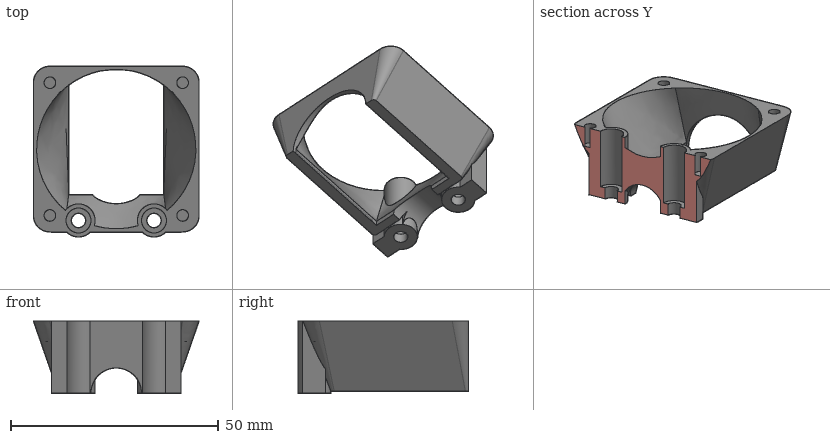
import cadquery as cq
import math

height = 17.5
rim_size = 40.0
rim_corner_radius = 4.0
duct_bottom_z = 0.5
duct_bottom_half_width = 14.1
duct_bottom_front_y = -13.2
duct_bottom_corner_radius = 0.8
rim_half = rim_size / 2
duct_height = height - duct_bottom_z

passage_taper_bottom_z = 2.0
passage_radius = 19.2
passage_seam_x = 12.0
passage_seam_y = math.sqrt(passage_radius**2 - passage_seam_x**2)
passage_bottom_half_width = 11.45
passage_bottom_front_y = -10.95
passage_bottom_back_y = 19.0

back_opening_radius = 11.5
back_opening_front_y = -9.3
front_arch_radius = 6.1

block_half_width = 15.65
block_back_y = -14.5
block_front_y = -20.05

boss_x = 9.1
boss_y = -17.22
boss_radius = 4.0
screw_hole_radius = 1.7
screw_head_radius = 3.0
screw_floor_thickness = 3.0

rim_hole_spacing = 32.0
rim_hole_radius = 1.4
rim_hole_depth = 5.0


def rounded_rectangle(x_half, front_y, back_y, radius):
    """Sketch of a rectangle, symmetric about X = 0, with rounded corners."""
    depth = back_y - front_y
    middle_y = (front_y + back_y) / 2
    return (
        cq.Sketch()
        .push([(0, middle_y)])
        .rect(2 * x_half, depth)
        .reset()
        .vertices()
        .fillet(radius)
    )


def make_duct_body():
    bottom = rounded_rectangle(
        duct_bottom_half_width, duct_bottom_front_y, rim_half, duct_bottom_corner_radius
    )
    rim = rounded_rectangle(rim_half, -rim_half, rim_half, rim_corner_radius)
    return (
        cq.Workplane("XY")
        .workplane(offset=duct_bottom_z)
        .placeSketch(bottom, rim.moved(cq.Location(cq.Vector(0, 0, duct_height))))
        .loft(ruled=True)
    )


def make_block():
    depth = block_back_y - block_front_y
    return (
        cq.Workplane("XY", origin=(0, block_front_y, 0))
        .box(2 * block_half_width, depth, height, centered=(True, False, False))
    )


def make_passage_taper():
    """Loft whose four corner seams run from the rectangle up to the circle."""
    return (
        cq.Workplane("XY", origin=(0, 0, passage_taper_bottom_z))
        .moveTo(-passage_bottom_half_width, passage_bottom_front_y)
        .lineTo(passage_bottom_half_width, passage_bottom_front_y)
        .lineTo(passage_bottom_half_width, passage_bottom_back_y)
        .lineTo(-passage_bottom_half_width, passage_bottom_back_y)
        .close()
        .workplane(offset=height - passage_taper_bottom_z)
        .moveTo(-passage_seam_x, -passage_seam_y)
        .threePointArc((0, -passage_radius), (passage_seam_x, -passage_seam_y))
        .threePointArc((passage_radius, 0), (passage_seam_x, passage_seam_y))
        .threePointArc((0, passage_radius), (-passage_seam_x, passage_seam_y))
        .threePointArc((-passage_radius, 0), (-passage_seam_x, -passage_seam_y))
        .close()
        .loft(ruled=True)
    )


def make_passage_bottom():
    depth = passage_bottom_back_y - passage_bottom_front_y
    middle_y = (passage_bottom_front_y + passage_bottom_back_y) / 2
    return (
        cq.Workplane("XY", origin=(0, middle_y, 0))
        .rect(2 * passage_bottom_half_width, depth)
        .extrude(passage_taper_bottom_z)
    )


def cylinder_along_y(radius, start_y, end_y):
    return cq.Workplane("XZ", origin=(0, start_y, 0)).circle(radius).extrude(start_y - end_y)


def make_rim_holes():
    return (
        cq.Workplane("XY")
        .workplane(offset=height)
        .rect(rim_hole_spacing, rim_hole_spacing, forConstruction=True)
        .vertices()
        .circle(rim_hole_radius)
        .extrude(-rim_hole_depth)
    )


def boss_cylinders(radius, bottom_z=0.0):
    return (
        cq.Workplane("XY")
        .workplane(offset=bottom_z)
        .pushPoints([(-boss_x, boss_y), (boss_x, boss_y)])
        .circle(radius)
        .extrude(height - bottom_z)
    )


shell = make_duct_body().union(make_block())
shell = shell.cut(make_passage_taper())
shell = shell.cut(make_passage_bottom())
shell = shell.cut(cylinder_along_y(back_opening_radius, back_opening_front_y, rim_half))
shell = shell.cut(cylinder_along_y(front_arch_radius, block_front_y, passage_bottom_front_y))
shell = shell.cut(make_rim_holes())

result = (
    shell.union(boss_cylinders(boss_radius))
    .cut(boss_cylinders(screw_hole_radius))
    .cut(boss_cylinders(screw_head_radius, screw_floor_thickness))
)